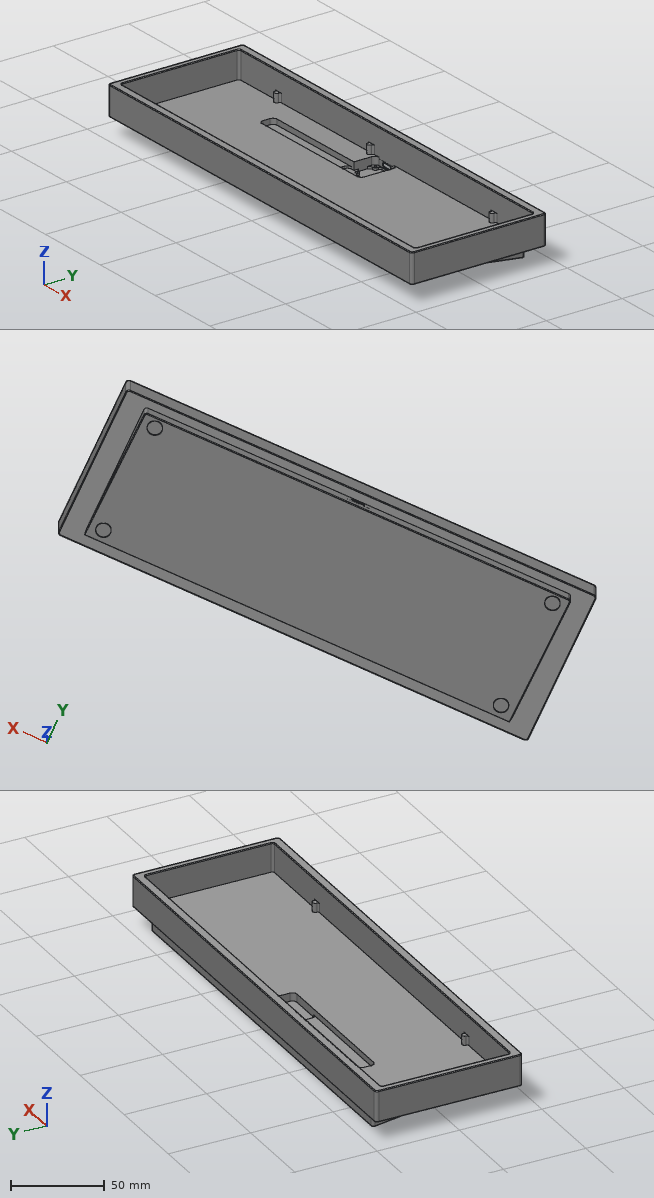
import cadquery as cq
import math

length = 277.0
width = 89.5
height = 29.5
tray_height = 19.0
corner_radius = 2.0
edge_chamfer = 0.5
edge_chamfer_angle = 45

end_wall = 4.2
side_wall = 5.5
floor_thickness = 1.5
cavity_corner_radius = 1.5

wedge_length = 251.4
wedge_rear_inset = 5.0
wedge_front_inset = 5.5
wedge_corner_radius = 1.7
wedge_edge_chamfer = 0.5

foot_diameter = 8.3
foot_depth = 0.8
foot_spacing = 234.5
rear_foot_distance = 6.0
front_foot_distance = 7.2

nose_radius = 1.7
nub_root_radius = 1.0
nub_height = 5.5
rear_nub_places = (-98.7, -13.9, 98.0)
front_nub_places = (-84.8, 84.8)

pocket_width = 19.5
pocket_front = 14.7
pocket_depth = 5.0
pocket_left_end = -14.7
pocket_corner_radius = 2.8
channel_left_end = -82.5
channel_rear = 24.7
channel_depth = 3.5

well_depth = 1.5
well_front = 22.2
well_corner = 5.5
boss_diameter = 3.3
screw_hole_diameter = 1.64
screw_hole_depth = 2.8
screw_spacing_x = 13.9
screw_spacing_y = 12.5
rear_screw_y = 36.9

opening_width = 7.5
opening_height = 2.5
opening_level = 8.5

tray_bottom = height - tray_height
floor_level = tray_bottom + floor_thickness
cavity_rear = width / 2 - side_wall
wedge_rear = width / 2 - wedge_rear_inset
wedge_front = wedge_front_inset - width / 2
wedge_run = wedge_rear - wedge_front
slope_angle = math.atan2(tray_bottom, wedge_run)
wedge_edge_loss = wedge_edge_chamfer * math.sin(slope_angle)
pocket_right = pocket_width / 2
pocket_floor = floor_level - pocket_depth
well_floor = pocket_floor - well_depth
screw_places = [
    (side * screw_spacing_x / 2, y)
    for side in (-1, 1)
    for y in (rear_screw_y, rear_screw_y - screw_spacing_y)
]


def block(x_limits, y_limits, z_limits, corner):
    """Box between the given limits, with its upright edges rounded."""
    (x_min, x_max), (y_min, y_max), (z_min, z_max) = x_limits, y_limits, z_limits
    box = cq.Workplane("XY").box(x_max - x_min, y_max - y_min, z_max - z_min, centered=False)
    return box.edges("|Z").fillet(corner).translate((x_min, y_min, z_min))


def tray():
    body = block(
        (-length / 2, length / 2), (-width / 2, width / 2), (tray_bottom, height), corner_radius
    )
    return body.faces("<Z or >Z").chamfer(edge_chamfer)


def cavity():
    """Space inside the tray, flaring out along a chamfer at the rim."""
    half_length = length / 2 - end_wall
    room = block(
        (-half_length, half_length),
        (-cavity_rear, cavity_rear),
        (floor_level, height - edge_chamfer),
        cavity_corner_radius,
    )
    rim_outline = room.faces(">Z").wires().toPending()
    rim = rim_outline.extrude(edge_chamfer, taper=-edge_chamfer_angle, combine=False)
    return room.union(rim)


def wedge():
    """Tapered block whose chamfered underside slopes up towards the front."""
    rear_bottom = -wedge_edge_loss
    front_bottom = tray_bottom - wedge_edge_loss
    profile = [
        (wedge_rear, rear_bottom),
        (wedge_rear, floor_level),
        (wedge_front, floor_level),
        (wedge_front, front_bottom),
    ]
    body = cq.Workplane("YZ").polyline(profile).close().extrude(wedge_length / 2, both=True)
    body = body.edges("|Z and >Y").fillet(wedge_corner_radius)
    return body.faces("<Z").chamfer(wedge_edge_chamfer)


def foot_recesses():
    slope_length = wedge_run / math.cos(slope_angle)
    rows = (-rear_foot_distance, front_foot_distance - slope_length)
    places = [(side * foot_spacing / 2, row) for side in (-1, 1) for row in rows]
    feet = cq.Workplane("XY").pushPoints(places).circle(foot_diameter / 2).extrude(foot_depth)
    tilted_feet = feet.rotate((0, 0, 0), (1, 0, 0), -math.degrees(slope_angle))
    return tilted_feet.translate((0, wedge_rear, -wedge_edge_loss))


def rear_nub(x):
    """Half-round nose flanked by concave arcs that run into the rear wall."""
    root_half_width = nose_radius + nub_root_radius
    root_bulge = nub_root_radius * math.sqrt(0.5)
    bulge_x = root_half_width - root_bulge
    bulge_y = root_bulge - nub_root_radius
    return (
        cq.Workplane("XY", origin=(x, cavity_rear, floor_level))
        .moveTo(-root_half_width, 0)
        .threePointArc((-bulge_x, bulge_y), (-nose_radius, -nub_root_radius))
        .threePointArc((0, -nub_root_radius - nose_radius), (nose_radius, -nub_root_radius))
        .threePointArc((bulge_x, bulge_y), (root_half_width, 0))
        .close()
        .extrude(nub_height)
    )


def floor_pocket():
    pocket_heights = (pocket_floor, floor_level)
    channel_heights = (floor_level - channel_depth, floor_level)
    cable_band = (pocket_front, channel_rear)
    connector_bay = block(
        (-pocket_right, pocket_right), (pocket_front, cavity_rear), pocket_heights, pocket_corner_radius
    )
    cable_bay = block((pocket_left_end, pocket_right), cable_band, pocket_heights, pocket_corner_radius)
    channel = block((channel_left_end, pocket_right), cable_band, channel_heights, pocket_corner_radius)
    return connector_bay.union(cable_bay).union(channel)


def well():
    """Rectangle with clipped corners, centred on the screw pattern."""
    centre_y = rear_screw_y - screw_spacing_y / 2
    span_y = 2 * (centre_y - well_front)
    return (
        cq.Workplane("XY", origin=(0, centre_y, well_floor))
        .rect(pocket_width, span_y)
        .extrude(well_depth)
        .edges("|Z")
        .chamfer(well_corner)
    )


def screw_cylinders(diameter, bottom, top):
    start = cq.Workplane("XY", origin=(0, 0, bottom))
    return start.pushPoints(screw_places).circle(diameter / 2).extrude(top - bottom)


def connector_opening():
    """Rounded slot running from inside the pocket to beyond the rear of the wedge."""
    start_y = cavity_rear - pocket_corner_radius
    start = cq.Workplane("XZ", origin=(0, start_y, opening_level))
    return start.slot2D(opening_width, opening_height).extrude(start_y - width / 2)


result = tray().union(wedge()).cut(cavity())
for x in rear_nub_places:
    result = result.union(rear_nub(x))
for x in front_nub_places:
    result = result.union(rear_nub(x).mirror("XZ"))

well_around_bosses = well().cut(screw_cylinders(boss_diameter, well_floor, pocket_floor))
screw_holes = screw_cylinders(screw_hole_diameter, pocket_floor - screw_hole_depth, pocket_floor)
for cutter in (floor_pocket(), well_around_bosses, screw_holes, connector_opening(), foot_recesses()):
    result = result.cut(cutter)